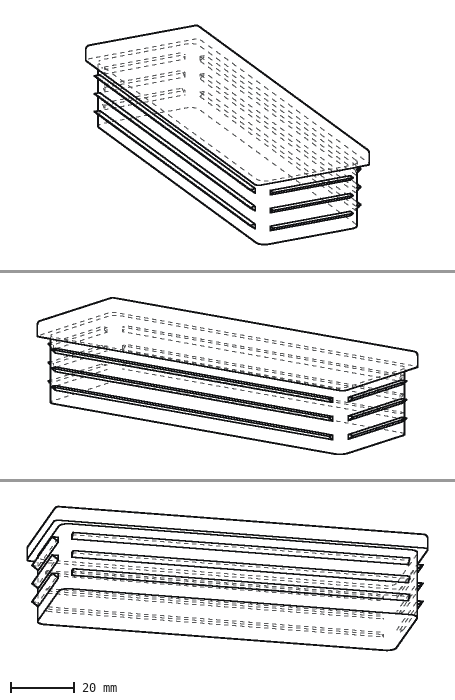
import cadquery as cq

cap_length = 120.0
cap_width = 40.0
cap_height = 5.0
cap_round = 1.5

total_height = 26.5
cap_overhang = 2.5
plug_length = cap_length - 2 * cap_overhang
plug_width = cap_width - 2 * cap_overhang
plug_height = total_height - cap_height
plug_corner_radius = 3.0

rib_count = 3
rib_pitch = 6.0
lowest_rib_top = 6.0
rib_reach = 2.0
rib_height = 1.5
rib_embed = 0.5
rib_end_gap = 0.5


def make_cap():
    """Plate with rounded vertical corners and a rounded upper rim."""
    plate = cq.Workplane("XY").workplane(offset=plug_height).rect(cap_length, cap_width).extrude(cap_height)
    return plate.edges("|Z").fillet(cap_round).faces(">Z").edges().fillet(cap_round)


def make_plug():
    """Block with rounded vertical corners, standing on Z = 0."""
    block = cq.Workplane("XY").rect(plug_length, plug_width).extrude(plug_height)
    return block.edges("|Z").fillet(plug_corner_radius)


def make_rib(wall_distance, wall_length, top_z):
    """Rib along Y on the +X wall that stands wall_distance from the Z axis."""
    rib_length = wall_length - 2 * (plug_corner_radius + rib_end_gap)
    profile = [
        (wall_distance - rib_embed, top_z),
        (wall_distance + rib_reach, top_z),
        (wall_distance, top_z - rib_height),
        (wall_distance - rib_embed, top_z - rib_height),
    ]
    return cq.Workplane("XZ").polyline(profile).close().extrude(rib_length / 2, both=True)


def add_ribs(body):
    """Put a rib on each of the four walls at every level."""
    for level in range(rib_count):
        top_z = lowest_rib_top + level * rib_pitch
        end_rib = make_rib(plug_length / 2, plug_width, top_z)
        side_rib = make_rib(plug_width / 2, plug_length, top_z)
        for rib, angle in ((end_rib, 0), (side_rib, 90), (end_rib, 180), (side_rib, 270)):
            body = body.union(rib.rotate((0, 0, 0), (0, 0, 1), angle))
    return body


result = add_ribs(make_plug().union(make_cap()))